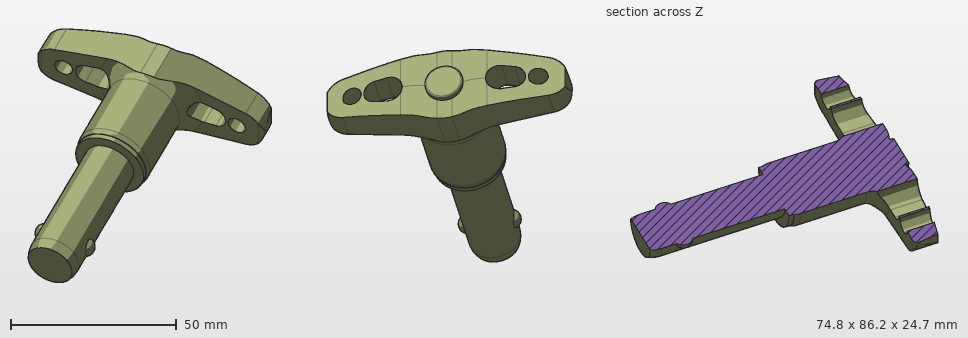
import math

import cadquery as cq


button_top = 42.2
crest_y = button_top - 0.45
dip_y = button_top - 1.65
pin_tip_y = -44.0
clearance = 1.0
above_all = button_top + clearance

half_length = 37.4
half_width = 12.33
taper_angle = math.radians(10)
apex_radius = 13.0
apex_center_z = half_width - apex_radius
end_radius = (
    apex_center_z * math.cos(taper_angle) + apex_radius - half_length * math.sin(taper_angle)
) / (1 - math.sin(taper_angle))
end_center_x = half_length - end_radius

dip_flat_x = 2.3
dip_slope_x = 5.6
dip_slope_y = button_top - 1.32
shoulder_x = 8.4
shoulder_y = button_top - 0.6
crest_x = 10.8
arm_start_x = 13.3
arm_start_y = button_top - 0.52
arm_start_direction = (1, -0.07)
arm_mid_x = 25.0
arm_mid_y = button_top - 2.0
end_top_x = 36.45
end_top_y = button_top - 4.3
end_widest_y = button_top - 10.9
bottom_y = button_top - 12.5
bottom_round = 1.7
bottom_round_x = half_length - bottom_round

barrel_radius = 11.75
barrel_nose_radius = 11.2
barrel_round_y = 3.5
barrel_nose_y = 1.65
barrel_round_end_radius = 11.35
pin_radius = 8.0
pin_tip_radius = 7.25
pin_taper_length = 3.4

underside_angle = math.radians(2.9)
flare_radius = 5.25
flare_start_y = button_top - 16.8
flare_end_radius = barrel_radius + flare_radius * (1 + math.sin(underside_angle))
flare_end_y = flare_start_y + flare_radius * math.cos(underside_angle)
underside_rim_radius = half_length + clearance
underside_rim_y = flare_end_y - (underside_rim_radius - flare_end_radius) * math.tan(underside_angle)

slot_inner_x = 17.03
slot_inner_radius = 4.25
slot_outer_x = 21.05
slot_outer_radius = 3.7
hole_x = 28.55
hole_diameter = 5.8

button_radius = 5.8
button_round = 0.5
button_base_y = button_top - 4.0
ball_radius = 3.0
ball_reach = 9.63
ball_y = button_top - 75.1


def polar_point(center_x, center_y, radius, angle):
    """Point on a circle at the given angle from its first axis."""
    return (center_x + radius * math.cos(angle), center_y + radius * math.sin(angle))


def make_outline():
    """Lozenge-shaped handle outline, extruded along the pin axis."""
    flank_direction = math.pi / 2 - taper_angle
    apex_x, apex_z = polar_point(0, apex_center_z, apex_radius, flank_direction)
    end_x, end_z = polar_point(end_center_x, 0, end_radius, flank_direction)
    return (
        cq.Workplane("XZ", origin=(0, above_all, 0))
        .moveTo(-apex_x, apex_z)
        .threePointArc((0, half_width), (apex_x, apex_z))
        .lineTo(end_x, end_z)
        .threePointArc((half_length, 0), (end_x, -end_z))
        .lineTo(apex_x, -apex_z)
        .threePointArc((0, -half_width), (-apex_x, -apex_z))
        .lineTo(-end_x, -end_z)
        .threePointArc((-half_length, 0), (-end_x, end_z))
        .close()
        .extrude(above_all)
    )


def make_side_profile():
    """Arched handle profile with a dip under the button, extruded along Z."""
    end_round_middle = polar_point(
        bottom_round_x, bottom_y + bottom_round, bottom_round, -math.pi / 4
    )
    dip_points = [
        (dip_slope_x, dip_slope_y),
        (shoulder_x, shoulder_y),
        (crest_x, crest_y),
        (arm_start_x, arm_start_y),
    ]
    half = (
        cq.Workplane("XY")
        .lineTo(0, dip_y)
        .lineTo(dip_flat_x, dip_y)
        .spline(dip_points, tangents=[(1, 0), arm_start_direction], includeCurrent=True)
        .threePointArc((arm_mid_x, arm_mid_y), (end_top_x, end_top_y))
        .lineTo(half_length, end_widest_y)
        .threePointArc(end_round_middle, (bottom_round_x, bottom_y))
        .lineTo(flare_end_radius, bottom_y)
        .lineTo(flare_end_radius, 0)
        .close()
        .extrude(half_width, both=True)
    )
    return half.union(half.mirror("YZ"))


def revolve_about_pin_axis(profile):
    """Full revolution of an XY profile about the Y axis."""
    return profile.close().revolve(360, (0, 0, 0), (0, 1, 0))


def make_underside_limit():
    """Space above the conical underside and the concave flare."""
    flare_middle = polar_point(
        barrel_radius + flare_radius, flare_start_y, flare_radius, math.radians(135)
    )
    profile = (
        cq.Workplane("XY")
        .moveTo(0, flare_start_y)
        .lineTo(barrel_radius, flare_start_y)
        .threePointArc(flare_middle, (flare_end_radius, flare_end_y))
        .lineTo(underside_rim_radius, underside_rim_y)
        .lineTo(underside_rim_radius, above_all)
        .lineTo(0, above_all)
    )
    return revolve_about_pin_axis(profile)


def easing_middle(start_radius, start_y, end_radius, end_y):
    """Middle point of a shallow arc that leaves a cylinder almost tangentially."""
    return (start_radius - (start_radius - end_radius) / 4, (start_y + end_y) / 2)


def make_barrel_and_pin():
    """Barrel with a rounded stepped nose, and the pin with its eased tip."""
    barrel_round_middle = easing_middle(
        barrel_radius, barrel_round_y, barrel_round_end_radius, barrel_nose_y
    )
    pin_taper_y = pin_tip_y + pin_taper_length
    pin_taper_middle = easing_middle(pin_radius, pin_taper_y, pin_tip_radius, pin_tip_y)
    profile = (
        cq.Workplane("XY")
        .moveTo(0, flare_start_y)
        .lineTo(barrel_radius, flare_start_y)
        .lineTo(barrel_radius, barrel_round_y)
        .threePointArc(barrel_round_middle, (barrel_round_end_radius, barrel_nose_y))
        .lineTo(barrel_nose_radius, barrel_nose_y)
        .lineTo(barrel_nose_radius, 0)
        .lineTo(pin_radius, 0)
        .lineTo(pin_radius, pin_taper_y)
        .threePointArc(pin_taper_middle, (pin_tip_radius, pin_tip_y))
        .lineTo(0, pin_tip_y)
    )
    return revolve_about_pin_axis(profile)


def make_slot(side):
    """Tapered slot cutter whose flanks are tangent to both end arcs."""
    spread = math.asin((slot_inner_radius - slot_outer_radius) / (slot_outer_x - slot_inner_x))
    flank_direction = math.pi / 2 - spread
    inner_x, inner_z = polar_point(slot_inner_x, 0, slot_inner_radius, flank_direction)
    outer_x, outer_z = polar_point(slot_outer_x, 0, slot_outer_radius, flank_direction)
    return (
        cq.Workplane("XZ", origin=(0, above_all, 0))
        .moveTo(side * inner_x, inner_z)
        .lineTo(side * outer_x, outer_z)
        .threePointArc((side * (slot_outer_x + slot_outer_radius), 0), (side * outer_x, -outer_z))
        .lineTo(side * inner_x, -inner_z)
        .threePointArc((side * (slot_inner_x - slot_inner_radius), 0), (side * inner_x, inner_z))
        .close()
        .extrude(above_all)
    )


def make_lanyard_hole(side):
    """Round hole cutter near the end of one arm."""
    return (
        cq.Workplane("XZ", origin=(side * hole_x, above_all, 0))
        .circle(hole_diameter / 2)
        .extrude(above_all)
    )


def make_button():
    """Release button standing in the dip of the handle."""
    return (
        cq.Workplane("XZ", origin=(0, button_top, 0))
        .circle(button_radius)
        .extrude(button_top - button_base_y)
        .faces(">Y")
        .edges()
        .fillet(button_round)
    )


def make_ball(side):
    """Locking ball protruding from the pin."""
    return cq.Workplane("XY").sphere(ball_radius).translate((side * (ball_reach - ball_radius), ball_y, 0))


handle = make_outline().intersect(make_side_profile()).intersect(make_underside_limit())
result = handle.union(make_barrel_and_pin()).union(make_button())
for side in (-1, 1):
    result = result.cut(make_slot(side)).cut(make_lanyard_hole(side)).union(make_ball(side))